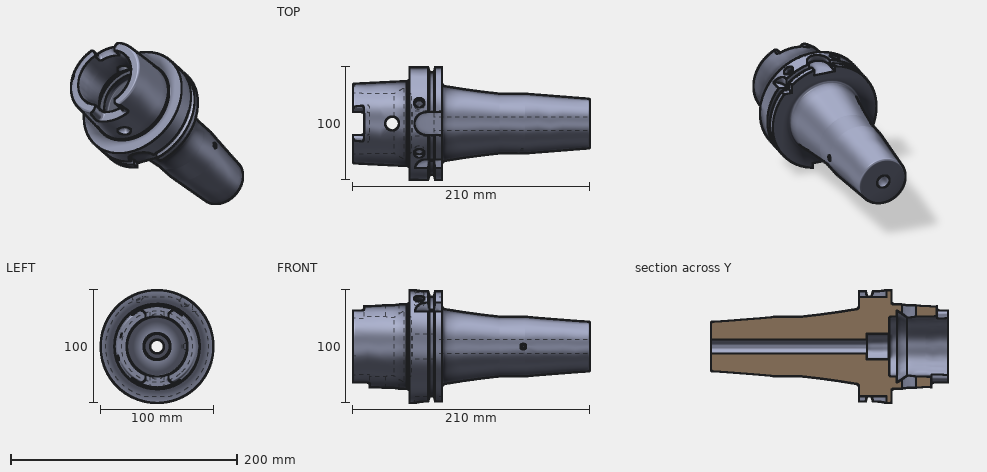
import cadquery as cq
import math


CUT_REACH = 60.0

taper_length = 50.0
taper_end_x = -2.7
taper_large_radius = 75.36 / 2
taper_half_angle = math.atan(1 / 20)
taper_nose_round = 2.0
relief_depth = 0.2
relief_length = 1.7
root_fillet = 1.0

flange_radius = 50.0
flange_length = 29.0
groove_start = 16.6
groove_end = 22.9
groove_start_run = 1.4
groove_end_run = 1.2
groove_floor_radius = 45.45

neck_fillet = 2.8
neck_large_radius = 33.1
neck_radius = 53.0 / 2
neck_sag = 0.4
neck_start = 80.0
neck_end = 102.6
body_end = 160.02
nose_half_angle = math.radians(4.5)
nose_round = 2.0

bore_radius = 53.0 / 2
bore_mouth_radius = 27.0
bore_mouth_length = 20.0
clamp_groove_start = -13.5
clamp_groove_end = -4.5
clamp_groove_radius = 63.0 / 2
clamp_flare_angle = math.radians(30)
bore_floor_x = 2.0
bore_floor_fillet = 1.6
tube_hole_radius = 22.38 / 2
tube_hole_depth = 20.0
tube_hole_chamfer = 0.8
through_hole_radius = 12.0 / 2

slot_width = 20.0
slot_edge_round = 5.0
slot_shoulder_height = 32.0
slot_end_fillet = 2.0
top_slot_depth = 10.0
bottom_slot_depth = 15.0

keyway_end_x = 4.6
top_keyway_width = 20.0
bottom_keyway_width = 23.0
keyway_floor_height = 44.0
notch_wall_y = -31.6
notch_floor_z = 31.1
notch_end_radius = 10.0

cross_hole_diameter = 12.0
cross_hole_x = -15.2
flange_hole_diameter = 9.0
flange_hole_x = 8.8
flange_hole_depth = 5.5
flange_hole_angles = (-21.7, 31.8)
drill_point_angle = 118.0
screw_hole_diameter = 5.0
screw_hole_depth = 3.0
screw_socket_diameter = 3.0
screw_socket_depth = 1.5
screw_hole_x = 100.8


def turned_body():
    taper_small_radius = taper_large_radius - (taper_length + taper_end_x) * math.tan(taper_half_angle)
    nose_radius = neck_radius - (body_end - neck_end) * math.tan(nose_half_angle)
    relief_radius = taper_large_radius - relief_depth
    relief_end = taper_end_x + relief_length
    neck_curve_start = flange_length + neck_fillet
    diagonal = math.sqrt(0.5)

    curve_mid = (
        (neck_curve_start + neck_start) / 2,
        (neck_large_radius + neck_radius) / 2 - neck_sag,
    )

    profile = (
        cq.Workplane("XY")
        .moveTo(-taper_length, 0)
        .lineTo(-taper_length, taper_small_radius - taper_nose_round)
        .threePointArc(
            (
                -taper_length + taper_nose_round * (1 - diagonal),
                taper_small_radius - taper_nose_round * (1 - diagonal),
            ),
            (
                -taper_length + taper_nose_round,
                taper_small_radius + taper_nose_round * math.tan(taper_half_angle),
            ),
        )
        .lineTo(taper_end_x, taper_large_radius)
        .lineTo(taper_end_x, relief_radius)
        .lineTo(relief_end, relief_radius)
        .lineTo(relief_end, taper_large_radius + relief_depth)
        .threePointArc(
            (-root_fillet * (1 - diagonal), taper_large_radius + relief_depth + root_fillet * (1 - diagonal)),
            (0, taper_large_radius + relief_depth + root_fillet),
        )
        .lineTo(0, flange_radius)
        .lineTo(groove_start, flange_radius)
        .lineTo(groove_start + groove_start_run, groove_floor_radius)
        .lineTo(groove_end - groove_end_run, groove_floor_radius)
        .lineTo(groove_end, flange_radius)
        .lineTo(flange_length, flange_radius)
        .lineTo(flange_length, neck_large_radius + neck_fillet)
        .threePointArc(
            (
                flange_length + neck_fillet * (1 - diagonal),
                neck_large_radius + neck_fillet * (1 - diagonal),
            ),
            (neck_curve_start, neck_large_radius),
        )
        .threePointArc(curve_mid, (neck_start, neck_radius))
        .lineTo(neck_end, neck_radius)
        .lineTo(body_end, nose_radius)
        .lineTo(body_end, 0)
        .close()
    )
    body = profile.revolve(360, (0, 0, 0), (1, 0, 0))
    return body.faces(">X").edges().fillet(nose_round)


def clamping_bore():
    flare_run = (clamp_groove_radius - bore_radius) / math.tan(clamp_flare_angle)
    fillet_inset = bore_floor_fillet * (1 - math.sqrt(0.5))
    tube_hole_end = bore_floor_x + tube_hole_depth
    return (
        cq.Workplane("XY")
        .moveTo(-taper_length, 0)
        .lineTo(-taper_length, bore_mouth_radius)
        .lineTo(-taper_length + bore_mouth_length, bore_radius)
        .lineTo(clamp_groove_start, bore_radius)
        .lineTo(clamp_groove_start + flare_run, clamp_groove_radius)
        .lineTo(clamp_groove_end, clamp_groove_radius)
        .lineTo(clamp_groove_end, bore_radius)
        .lineTo(bore_floor_x - bore_floor_fillet, bore_radius)
        .threePointArc(
            (bore_floor_x - fillet_inset, bore_radius - fillet_inset),
            (bore_floor_x, bore_radius - bore_floor_fillet),
        )
        .lineTo(bore_floor_x, tube_hole_radius + tube_hole_chamfer)
        .lineTo(bore_floor_x + tube_hole_chamfer, tube_hole_radius)
        .lineTo(tube_hole_end, tube_hole_radius)
        .lineTo(tube_hole_end, through_hole_radius)
        .lineTo(body_end, through_hole_radius)
        .lineTo(body_end, 0)
        .close()
        .revolve(360, (0, 0, 0), (1, 0, 0))
    )


def drive_slot(depth, side):
    """Slot across the open end; side is +1 for +Z and -1 for -Z."""
    half_width = slot_width / 2
    round_centre_y = half_width + slot_edge_round
    round_centre_z = slot_shoulder_height - slot_edge_round
    round_mid_y = round_centre_y - slot_edge_round * math.sqrt(0.5)
    round_mid_z = round_centre_z + slot_edge_round * math.sqrt(0.5)
    cutter = (
        cq.Workplane("YZ", origin=(-taper_length, 0, 0))
        .moveTo(-half_width, 0)
        .lineTo(-half_width, side * round_centre_z)
        .threePointArc((-round_mid_y, side * round_mid_z), (-round_centre_y, side * slot_shoulder_height))
        .lineTo(-CUT_REACH, side * slot_shoulder_height)
        .lineTo(-CUT_REACH, side * CUT_REACH)
        .lineTo(CUT_REACH, side * CUT_REACH)
        .lineTo(CUT_REACH, side * slot_shoulder_height)
        .lineTo(round_centre_y, side * slot_shoulder_height)
        .threePointArc((round_mid_y, side * round_mid_z), (half_width, side * round_centre_z))
        .lineTo(half_width, 0)
        .close()
        .extrude(depth)
    )
    return cutter.faces(">X").edges().fillet(slot_end_fillet)


def flange_keyway(width, side):
    """Round-ended keyway open toward +X; side is +1 for +Z and -1 for -Z."""
    radius = width / 2
    centre_x = keyway_end_x + radius
    return (
        cq.Workplane("XY", origin=(0, 0, side * keyway_floor_height))
        .moveTo(flange_length, -radius)
        .lineTo(centre_x, -radius)
        .threePointArc((keyway_end_x, 0), (centre_x, radius))
        .lineTo(flange_length, radius)
        .close()
        .extrude(side * CUT_REACH)
    )


def flange_notch():
    """Corner notch on the -Y side with a flat floor facing +Z."""
    centre_x = keyway_end_x + notch_end_radius
    diagonal = notch_end_radius * math.sqrt(0.5)
    centre_y = notch_wall_y - notch_end_radius
    return (
        cq.Workplane("XY", origin=(0, 0, notch_floor_z))
        .moveTo(flange_length, notch_wall_y)
        .lineTo(centre_x, notch_wall_y)
        .threePointArc((centre_x - diagonal, centre_y + diagonal), (keyway_end_x, centre_y))
        .lineTo(keyway_end_x, -CUT_REACH)
        .lineTo(flange_length, -CUT_REACH)
        .close()
        .extrude(CUT_REACH)
    )


def flange_hole(angle):
    """Radial blind hole with a drill point, turned by angle from +Z toward -Y."""
    radius = flange_hole_diameter / 2
    floor = flange_radius - flange_hole_depth
    tip = floor - radius / math.tan(math.radians(drill_point_angle / 2))
    return (
        cq.Workplane("XZ")
        .moveTo(0, tip)
        .lineTo(radius, floor)
        .lineTo(radius, CUT_REACH)
        .lineTo(0, CUT_REACH)
        .close()
        .revolve(360, (0, 0, 0), (0, 1, 0))
        .rotate((0, 0, 0), (1, 0, 0), angle)
        .translate((flange_hole_x, 0, 0))
    )


def cross_hole():
    return (
        cq.Workplane("XY", origin=(cross_hole_x, 0, -CUT_REACH))
        .circle(cross_hole_diameter / 2)
        .extrude(2 * CUT_REACH)
    )


def screw_hole():
    """Stepped blind hole entering from the -Y side of the neck."""
    floor_y = -neck_radius + screw_hole_depth
    entry = cq.Workplane("XZ", origin=(screw_hole_x, floor_y, 0))
    socket = cq.Workplane("XZ", origin=(screw_hole_x, floor_y + screw_socket_depth, 0))
    return (
        entry.circle(screw_hole_diameter / 2)
        .extrude(CUT_REACH)
        .union(socket.circle(screw_socket_diameter / 2).extrude(CUT_REACH))
    )


result = turned_body().cut(clamping_bore())
result = result.cut(drive_slot(top_slot_depth, 1)).cut(drive_slot(bottom_slot_depth, -1))
result = result.cut(flange_keyway(top_keyway_width, 1)).cut(flange_keyway(bottom_keyway_width, -1))
result = result.cut(flange_notch())
for hole_angle in flange_hole_angles:
    result = result.cut(flange_hole(hole_angle))
result = result.cut(cross_hole()).cut(screw_hole())